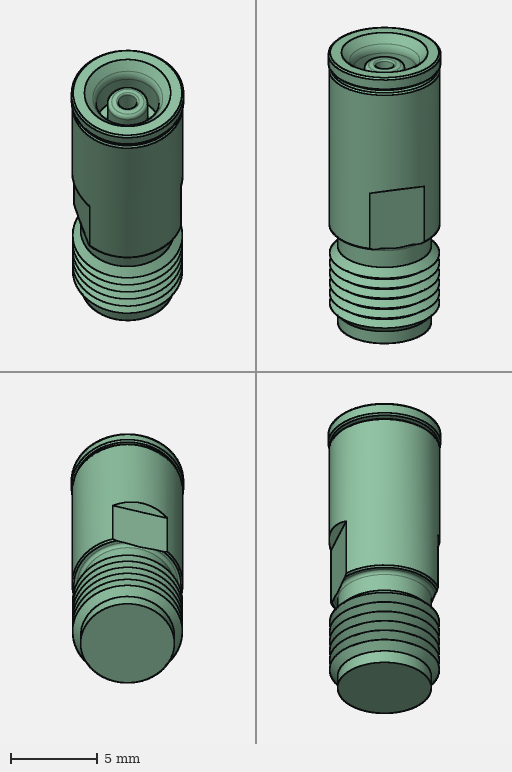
import cadquery as cq
import math

TOTAL_HEIGHT = 17.56

ROOT_RADIUS = 5.43 / 2
CREST_RADIUS = 6.35 / 2
THREAD_START = 0.79
THREAD_PITCH = 0.65
RIDGE_COUNT = 6
THREAD_DEPTH = CREST_RADIUS - ROOT_RADIUS
FIRST_CREST = THREAD_START + THREAD_DEPTH
LAST_CREST = FIRST_CREST + (RIDGE_COUNT - 1) * THREAD_PITCH
THREAD_END = LAST_CREST + THREAD_DEPTH

BODY_RADIUS = 6.41 / 2
BODY_BOTTOM = 6.29
BODY_TOP = 16.55
EDGE_CHAMFER = 0.1
NECK_FILLET = 0.21

RING_RADIUS = 6.5 / 2
RING_BOTTOM = 16.75
GROOVE_RADIUS = 5.58 / 2

FLAT_DISTANCE = 5.51
FLAT_TOP = 10.0
SHOULDER_ANGLE = 30.0

MOUTH_RADIUS = 4.99 / 2
CONE_END_RADIUS = 4.04 / 2
SOCKET_RADIUS = 3.63 / 2
SOCKET_DEPTH = 2.81
CONE_ANGLE = math.radians(45.0)

CONTACT_RADIUS = 1.16
CONTACT_SHOULDER = 16.77
CONTACT_ROUND = 0.23
CONTACT_FOOT_FILLET = 0.15
CONTACT_CROWN_ANGLE = 8.0
CONTACT_HOLE_RADIUS = 0.55
CONTACT_HOLE_ROUND = 0.1
CONTACT_HOLE_DEPTH = 2.1
CONTACT_ROOT_OVERLAP = 0.18

SOCKET_FLOOR = TOTAL_HEIGHT - SOCKET_DEPTH


def fillet_middle(center_r, center_z, radius, angle):
    """Point of a fillet arc at the given angle around its centre."""
    return center_r + radius * math.cos(angle), center_z + radius * math.sin(angle)


def outer_solid():
    """Revolve the outside of the connector, from the bottom face up."""
    outline = cq.Workplane("XZ").lineTo(ROOT_RADIUS, 0).lineTo(ROOT_RADIUS, THREAD_START)
    for ridge in range(RIDGE_COUNT):
        crest = FIRST_CREST + ridge * THREAD_PITCH
        outline = outline.lineTo(CREST_RADIUS, crest)
        if ridge < RIDGE_COUNT - 1:
            outline = outline.lineTo(ROOT_RADIUS, crest + THREAD_PITCH / 2)

    fillet_bottom = BODY_BOTTOM - NECK_FILLET
    fillet_outer = ROOT_RADIUS + NECK_FILLET
    neck_arc_middle = fillet_middle(fillet_outer, fillet_bottom, NECK_FILLET, math.radians(135))
    outline = (
        outline.lineTo(ROOT_RADIUS, THREAD_END)
        .lineTo(ROOT_RADIUS, fillet_bottom)
        .threePointArc(neck_arc_middle, (fillet_outer, BODY_BOTTOM))
        .lineTo(BODY_RADIUS - EDGE_CHAMFER, BODY_BOTTOM)
        .lineTo(BODY_RADIUS, BODY_BOTTOM + EDGE_CHAMFER)
        .lineTo(BODY_RADIUS, BODY_TOP - EDGE_CHAMFER)
        .lineTo(BODY_RADIUS - EDGE_CHAMFER, BODY_TOP)
        .lineTo(GROOVE_RADIUS, BODY_TOP)
        .lineTo(GROOVE_RADIUS, RING_BOTTOM)
        .lineTo(RING_RADIUS - EDGE_CHAMFER, RING_BOTTOM)
        .lineTo(RING_RADIUS, RING_BOTTOM + EDGE_CHAMFER)
        .lineTo(RING_RADIUS, TOTAL_HEIGHT - EDGE_CHAMFER)
        .lineTo(RING_RADIUS - EDGE_CHAMFER, TOTAL_HEIGHT)
        .lineTo(0, TOTAL_HEIGHT)
        .close()
    )
    return outline.revolve(360, (0, 0, 0), (0, 1, 0))


def flat_cutter(side):
    """Material outside one wrench flat, down past the neck fillet; side is -1 or +1 along Y."""
    near = FLAT_DISTANCE / 2
    far = RING_RADIUS
    bottom = BODY_BOTTOM - NECK_FILLET
    shoulder_rise = (far - near) * math.tan(math.radians(SHOULDER_ANGLE))
    outline = [
        (side * near, bottom),
        (side * far, bottom),
        (side * far, FLAT_TOP + shoulder_rise),
        (side * near, FLAT_TOP),
    ]
    return cq.Workplane("YZ").polyline(outline).close().extrude(RING_RADIUS, both=True)


def socket_cutter():
    """Socket void, with an arc tangent to both the conical mouth and the wall."""
    cone_end = TOTAL_HEIGHT - (MOUTH_RADIUS - CONE_END_RADIUS) / math.tan(CONE_ANGLE)
    blend = (CONE_END_RADIUS - SOCKET_RADIUS) / (1 - math.cos(CONE_ANGLE))
    blend_center_r = SOCKET_RADIUS + blend
    blend_center_z = cone_end - blend * math.sin(CONE_ANGLE)
    blend_middle = fillet_middle(blend_center_r, blend_center_z, blend, math.pi - CONE_ANGLE / 2)
    return (
        cq.Workplane("XZ")
        .moveTo(0, TOTAL_HEIGHT)
        .lineTo(MOUTH_RADIUS, TOTAL_HEIGHT)
        .lineTo(CONE_END_RADIUS, cone_end)
        .threePointArc(blend_middle, (SOCKET_RADIUS, blend_center_z))
        .lineTo(SOCKET_RADIUS, SOCKET_FLOOR)
        .lineTo(0, SOCKET_FLOOR)
        .close()
        .revolve(360, (0, 0, 0), (0, 1, 0))
    )


def contact():
    """Centre contact: filleted foot, rounded shoulder, shallow conical crown and a blind hole."""
    foot_radius = CONTACT_RADIUS + CONTACT_FOOT_FILLET
    foot_top = SOCKET_FLOOR + CONTACT_FOOT_FILLET
    foot_middle = fillet_middle(foot_radius, foot_top, CONTACT_FOOT_FILLET, math.radians(225))

    shoulder_radius = CONTACT_RADIUS - CONTACT_ROUND
    shoulder_bottom = CONTACT_SHOULDER - CONTACT_ROUND
    shoulder_middle = fillet_middle(shoulder_radius, shoulder_bottom, CONTACT_ROUND, math.radians(45))

    mouth_radius = CONTACT_HOLE_RADIUS + CONTACT_HOLE_ROUND
    crown_rise = (shoulder_radius - mouth_radius) * math.tan(math.radians(CONTACT_CROWN_ANGLE))
    crown_top = CONTACT_SHOULDER + crown_rise
    mouth_bottom = crown_top - CONTACT_HOLE_ROUND
    mouth_middle = fillet_middle(mouth_radius, mouth_bottom, CONTACT_HOLE_ROUND, math.radians(135))

    hole_floor = crown_top - CONTACT_HOLE_DEPTH
    root = SOCKET_FLOOR - CONTACT_ROOT_OVERLAP
    return (
        cq.Workplane("XZ")
        .moveTo(0, root)
        .lineTo(foot_radius, root)
        .lineTo(foot_radius, SOCKET_FLOOR)
        .threePointArc(foot_middle, (CONTACT_RADIUS, foot_top))
        .lineTo(CONTACT_RADIUS, shoulder_bottom)
        .threePointArc(shoulder_middle, (shoulder_radius, CONTACT_SHOULDER))
        .lineTo(mouth_radius, crown_top)
        .threePointArc(mouth_middle, (CONTACT_HOLE_RADIUS, mouth_bottom))
        .lineTo(CONTACT_HOLE_RADIUS, hole_floor)
        .lineTo(0, hole_floor)
        .close()
        .revolve(360, (0, 0, 0), (0, 1, 0))
    )


result = (
    outer_solid()
    .cut(flat_cutter(-1))
    .cut(flat_cutter(1))
    .cut(socket_cutter())
    .union(contact())
)